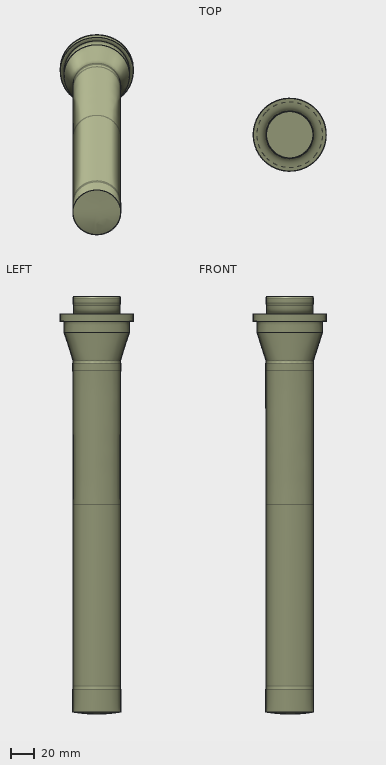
import cadquery as cq

TOTAL_HEIGHT = 357.0
FLANGE_TOP_Z = 342.0
FLANGE_BOTTOM_Z = 335.5
HEAD_BOTTOM_Z = 326.3
CONE_BOTTOM_Z = 302.5
NECK_TOP_Z = 299.5
NECK_BOTTOM_Z = 293.8
TAPER_BOTTOM_Z = 179.2
SHOE_TAPER_TOP_Z = 24.3
SHOE_TOP_Z = 21.0
FOOT_DOME_HEIGHT = 1.8
PLUG_TAPER_BOTTOM_Z = 349.0
PLUG_TAPER_TOP_Z = 351.3
RIM_CHAMFER_HEIGHT = 1.5
RIM_CHAMFER_WIDTH = 0.5

FLANGE_DIAMETER = 62.5
HEAD_DIAMETER = 56.0
NECK_DIAMETER = 41.0
TUBE_DIAMETER = 40.7
PLUG_DIAMETER = 40.0
PLUG_RIM_DIAMETER = 40.5


def revolve_about_z(outline):
    """Turn a closed outline of radius and height into a solid."""
    return outline.close().revolve(360, (0, 0), (0, 1))


def make_housing():
    """Flanged conical head on a long, slightly tapered shank with a shallow domed foot."""
    flange = FLANGE_DIAMETER / 2
    head = HEAD_DIAMETER / 2
    neck = NECK_DIAMETER / 2
    tube = TUBE_DIAMETER / 2
    dome = (neck**2 + FOOT_DOME_HEIGHT**2) / (2 * FOOT_DOME_HEIGHT)
    outline = (
        cq.Workplane("XZ")
        .radiusArc((neck, FOOT_DOME_HEIGHT), -dome)
        .lineTo(neck, SHOE_TOP_Z)
        .lineTo(tube, SHOE_TAPER_TOP_Z)
        .lineTo(tube, TAPER_BOTTOM_Z)
        .lineTo(neck, NECK_BOTTOM_Z)
        .lineTo(neck, NECK_TOP_Z)
        .spline(
            [(tube, CONE_BOTTOM_Z)],
            tangents=[(0, 1), (head - tube, HEAD_BOTTOM_Z - CONE_BOTTOM_Z)],
            includeCurrent=True,
        )
        .lineTo(head, HEAD_BOTTOM_Z)
        .lineTo(head, FLANGE_BOTTOM_Z)
        .lineTo(flange, FLANGE_BOTTOM_Z)
        .lineTo(flange, FLANGE_TOP_Z)
        .lineTo(0, FLANGE_TOP_Z)
    )
    return revolve_about_z(outline)


def make_plug():
    """Round plug seated on the flange, with a slightly wider chamfered rim."""
    plug = PLUG_DIAMETER / 2
    rim = PLUG_RIM_DIAMETER / 2
    outline = cq.Workplane("XZ").polyline([
        (0, FLANGE_TOP_Z),
        (plug, FLANGE_TOP_Z),
        (plug, PLUG_TAPER_BOTTOM_Z),
        (rim, PLUG_TAPER_TOP_Z),
        (rim, TOTAL_HEIGHT - RIM_CHAMFER_HEIGHT),
        (rim - RIM_CHAMFER_WIDTH, TOTAL_HEIGHT),
        (0, TOTAL_HEIGHT),
    ])
    return revolve_about_z(outline)


housing = make_housing()
plug = make_plug()

result = cq.Compound.makeCompound([housing.val(), plug.val()])